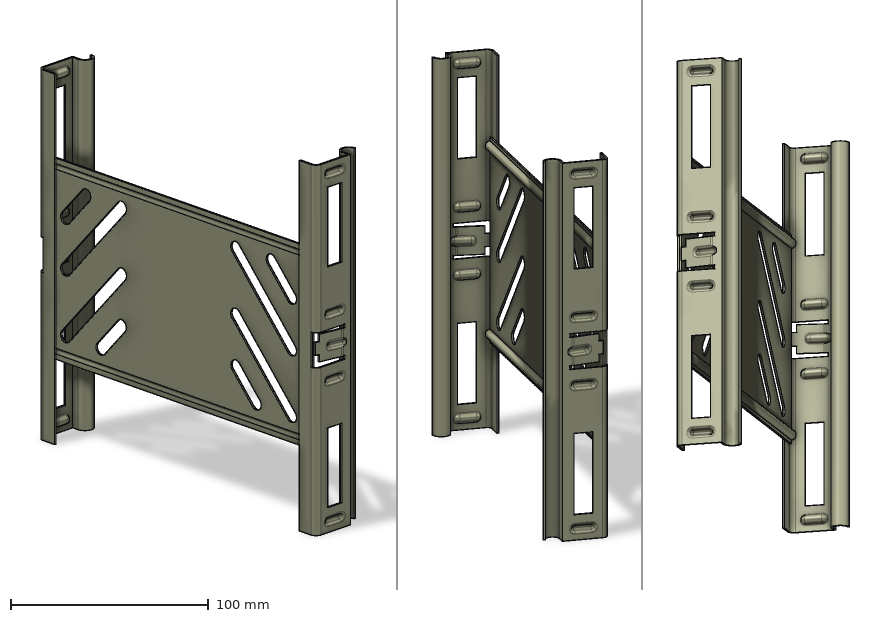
import cadquery as cq
import math

frame_width = 200.0
frame_height = 200.0
frame_depth = 33.2
sheet = 1.1

web_depth = 24.7
front_flange = 12.0
bend_radius = 3.5
curl_radius = (frame_depth - web_depth + sheet) / 2
curl_reach = 9.8

feature_y = 13.5
window_width = 10.0
window_height = 43.0
window_z = 65.0
dimple_z = (18.0, 93.9)
dimple_straight = 9.0
dimple_half_width = 2.9
dimple_depth = 2.4

tab_window_height = 19.0
tab_window_back = 20.8
tab_height = 15.0
tab_front = 4.7
tab_hinge_y = 19.0
tab_bend_radius = 7.0
tab_tilt = 9.0
neck_height = 7.0
neck_front = 2 * sheet
tab_dimple_y = 15.8
tab_dimple_straight = 8.6
tab_dimple_depth = 1.6

plate_height = 108.6
plate_length = frame_width - 2 * bend_radius
bead_z = 49.85
bead_inner_radius = 1.55
bead_depth = 2.4

slot_width = 7.0
slot_angle = 47.5
slot_group_x = -61.25
slot_group_half_width = 20.1
slot_group_half_height = 40.0
long_slot_rise = 44.0
short_slot_rise = 16.1


def box(x0, x1, y0, y1, z0, z1):
    """Block between two opposite corners."""
    return cq.Workplane("XY").box(x1 - x0, y1 - y0, z1 - z0, centered=False).translate((x0, y0, z0))


def dimple_half_section(offset, depth):
    """Half section of a dimple pressed along +X; offset moves its S-shaped flank off the outside face."""
    arc_radius = (dimple_half_width**2 / 4 + depth**2 / 4) / depth
    flank_angle = math.asin(dimple_half_width / 2 / arc_radius)
    tip_radius = arc_radius + offset
    rim_radius = arc_radius - offset
    tip_centre = depth - arc_radius

    def tip_point(angle):
        return (tip_centre + tip_radius * math.cos(angle), tip_radius * math.sin(angle))

    def rim_point(angle):
        return (
            arc_radius - rim_radius * math.cos(angle),
            dimple_half_width - rim_radius * math.sin(angle),
        )

    return (
        cq.Workplane("XY")
        .moveTo(offset, 0)
        .lineTo(*rim_point(0))
        .threePointArc(rim_point(flank_angle / 2), rim_point(flank_angle))
        .threePointArc(tip_point(flank_angle / 2), tip_point(0))
        .close()
    )


def dimple_body(offset, straight, depth):
    """Solid bounded by the dimple surface: a trough along Y with two rounded ends."""
    rounded_end = dimple_half_section(offset, depth).revolve(360, (0, 0, 0), (1, 0, 0))
    half_trough = dimple_half_section(offset, depth).extrude(straight / 2, both=True)
    half_trough = half_trough.rotate((0, 0, 0), (1, 0, 0), 90)
    body = half_trough.union(half_trough.mirror("XY"))
    for end in (-1, 1):
        body = body.union(rounded_end.translate((0, end * straight / 2, 0)))
    return body


def press_dimple(rail, straight, depth, y, z, tilt=0):
    """Press a dimple into the web, or into the spring tab when tilted about the tab hinge."""
    hinge = ((0, tab_hinge_y, 0), (0, tab_hinge_y, 1))
    bump = dimple_body(sheet, straight, depth).translate((0, y, z)).rotate(*hinge, tilt)
    cavity = dimple_body(0, straight, depth).translate((0, y, z)).rotate(*hinge, tilt)
    return rail.union(bump).cut(cavity)


def rail_section():
    """Section of the rail, with the outside face of the web at x = 0 and the front at y = 0."""
    inner_bend = bend_radius - sheet
    inner_curl = curl_radius - sheet
    curl_x = curl_reach - curl_radius
    curl_y = web_depth - sheet + curl_radius
    diagonal = math.sqrt(0.5)
    return (
        cq.Workplane("XY")
        .moveTo(front_flange, 0)
        .lineTo(bend_radius, 0)
        .threePointArc((bend_radius * (1 - diagonal),) * 2, (0, bend_radius))
        .lineTo(0, web_depth)
        .lineTo(curl_x, web_depth)
        .threePointArc((curl_x + inner_curl, curl_y), (curl_x, curl_y + inner_curl))
        .lineTo(curl_x, curl_y + curl_radius)
        .threePointArc((curl_x + curl_radius, curl_y), (curl_x, curl_y - curl_radius))
        .lineTo(sheet, web_depth - sheet)
        .lineTo(sheet, bend_radius)
        .threePointArc((bend_radius - inner_bend * diagonal,) * 2, (bend_radius, sheet))
        .lineTo(front_flange, sheet)
        .close()
    )


def spring_tab():
    """Tab that bends inward at its root and narrows to a neck at the front."""
    tilt = math.radians(tab_tilt)
    start_y = tab_hinge_y + tab_bend_radius * math.tan(tilt / 2)

    def bend_point(radius, angle):
        return (tab_bend_radius - radius * math.cos(angle), start_y - radius * math.sin(angle))

    def tip_point(radius):
        bend_x, bend_y = bend_point(radius, tilt)
        return (bend_x + (bend_y - neck_front) * math.tan(tilt), neck_front)

    outer = tab_bend_radius
    inner = tab_bend_radius - sheet
    side_profile = (
        cq.Workplane("XY")
        .moveTo(0, tab_window_back)
        .lineTo(*bend_point(outer, 0))
        .threePointArc(bend_point(outer, tilt / 2), bend_point(outer, tilt))
        .lineTo(*tip_point(outer))
        .lineTo(*tip_point(inner))
        .lineTo(*bend_point(inner, tilt))
        .threePointArc(bend_point(inner, tilt / 2), bend_point(inner, 0))
        .lineTo(sheet, tab_window_back)
        .close()
    )
    tab = side_profile.extrude(tab_height / 2, both=True)
    for side in (-1, 1):
        shoulder = sorted((side * neck_height / 2, side * tab_height / 2))
        tab = tab.cut(box(0, front_flange, neck_front, tab_front, *shoulder))
    return tab


def make_rail():
    rail = rail_section().extrude(frame_height / 2, both=True)
    for side in (-1, 1):
        window = cq.Workplane("YZ").center(feature_y, side * window_z).rect(window_width, window_height)
        rail = rail.cut(window.extrude(sheet))
        for z in dimple_z:
            rail = press_dimple(rail, dimple_straight, dimple_depth, feature_y, side * z)

    half_window = tab_window_height / 2
    rail = rail.cut(box(0, bend_radius, 0, tab_window_back, -half_window, half_window))
    rail = rail.union(spring_tab())
    rail = press_dimple(rail, tab_dimple_straight, tab_dimple_depth, tab_dimple_y, 0, tab_tilt)
    return rail.translate((-frame_width / 2, 0, 0))


def plate_slot(x, z, rise):
    """Slanted slot whose lower end is centred at x, z."""
    run = rise / math.tan(math.radians(slot_angle))
    length = rise / math.sin(math.radians(slot_angle)) + slot_width
    return (
        cq.Workplane("XZ")
        .center(x + run / 2, z + rise / 2)
        .slot2D(length, slot_width, slot_angle)
        .extrude(-3 * sheet)
    )


def press_bead(plate, z):
    """Press a round-bottomed stiffening bead backward along the whole plate length."""
    inner = bead_inner_radius
    outer = bead_inner_radius + sheet
    bead_y = sheet + bead_depth - inner
    half_length = plate_length / 2
    axis = cq.Workplane("YZ").center(bead_y, z)
    in_front = box(-half_length, half_length, bead_y - outer, sheet, z - outer, z + outer)
    ridge = axis.circle(outer).extrude(half_length, both=True).cut(in_front)
    round_bottom = axis.circle(inner).extrude(half_length, both=True)
    straight_sides = box(-half_length, half_length, 0, bead_y, z - inner, z + inner)
    return plate.union(ridge).cut(round_bottom).cut(straight_sides)


def make_plate():
    half_length = plate_length / 2
    half_height = plate_height / 2
    plate = box(-half_length, half_length, sheet, 2 * sheet, -half_height, half_height)
    for z in (-bead_z, bead_z):
        plate = press_bead(plate, z)

    left = slot_group_x - slot_group_half_width
    bottom = -slot_group_half_height
    top = slot_group_half_height
    slots = plate_slot(left, bottom, long_slot_rise)
    slots = slots.union(plate_slot(left, top - long_slot_rise, long_slot_rise))
    slots = slots.union(plate_slot(left, top - short_slot_rise, short_slot_rise))
    short_run = short_slot_rise / math.tan(math.radians(slot_angle))
    right = slot_group_x + slot_group_half_width
    slots = slots.union(plate_slot(right - short_run, bottom, short_slot_rise))
    return plate.cut(slots).cut(slots.mirror("YZ"))


left_rail = make_rail()
right_rail = left_rail.mirror("YZ")
plate = make_plate()

result = cq.Compound.makeCompound([left_rail.val(), right_rail.val(), plate.val()])